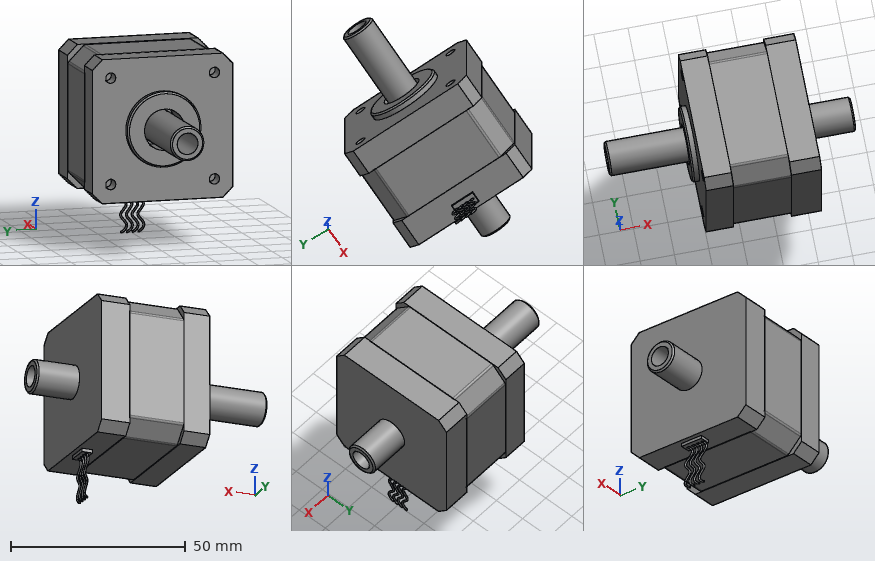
import cadquery as cq


frame_size = 42.0
frame_chamfer = 3.0
front_cap_length = 8.0
stator_length = 16.9
rear_cap_length = 8.8
stator_start = front_cap_length
rear_cap_start = stator_start + stator_length
frame_end = rear_cap_start + rear_cap_length

stator_inset = 0.2
stator_size = frame_size - 2 * stator_inset
stator_chamfer = 4.85
stator_corner_radius = 1.0

boss_diameter = 22.0
boss_height = 2.0
boss_chamfer = 0.5

clearance_diameter = 12.0

mounting_pitch = 31.0
mounting_hole_diameter = 3.0
mounting_hole_depth = 4.5

shaft_diameter = 10.0
shaft_bore = 6.2
shaft_chamfer = 0.5
shaft_front_reach = 24.9
shaft_rear_reach = 13.1
shaft_length = shaft_front_reach + frame_end + shaft_rear_reach

grommet_length = 3.2
grommet_width = 7.2
grommet_height = 1.0
grommet_x = frame_end - 3.0
grommet_bottom = -frame_size / 2 - grommet_height
wire_count = 4
wire_pitch = 1.72
wire_diameter = 0.55

wire_bends = [
    (-0.45, -0.3),
    (1.0, 0.65),
    (1.65, 1.95),
    (0.4, 3.8),
    (-0.85, 5.5),
    (0.8, 8.5),
    (-0.4, 10.3),
    (-1.0, 11.7),
    (-0.5, 12.75),
    (0.7, 13.52),
]


def along_x(start):
    """Work plane facing +X at the given X, with local axes Y and Z."""
    return cq.Workplane("YZ", origin=(start, 0, 0))


def cylinder(diameter, start, length):
    return along_x(start).circle(diameter / 2).extrude(length)


def square_block(size, chamfer, start, length):
    """Square block along X with its four long edges chamfered."""
    return along_x(start).rect(size, size).extrude(length).edges("|X").chamfer(chamfer)


def cut_shaft_hole(body):
    return body.cut(cylinder(shaft_diameter, -shaft_front_reach, shaft_length))


def make_front_cap():
    cap = square_block(frame_size, frame_chamfer, 0, front_cap_length)
    boss = cylinder(boss_diameter, -boss_height, boss_height + front_cap_length)
    cap = cap.union(boss.faces("<X").chamfer(boss_chamfer))
    cap = cap.cut(cylinder(clearance_diameter, -boss_height, boss_height + front_cap_length))
    mounting_holes = (
        along_x(0)
        .rect(mounting_pitch, mounting_pitch, forConstruction=True)
        .vertices()
        .circle(mounting_hole_diameter / 2)
        .extrude(mounting_hole_depth)
    )
    return cap.cut(mounting_holes)


def make_stator():
    stator = square_block(stator_size, stator_chamfer, stator_start, stator_length)
    return cut_shaft_hole(stator.edges("|X").fillet(stator_corner_radius))


def make_wire(exit_y):
    """One round lead wire, swept along a wavy path in a plane of constant X."""
    points = [cq.Vector(grommet_x, exit_y + shift, grommet_bottom - drop) for shift, drop in wire_bends]
    path = cq.Edge.makeSpline(points)
    root_plane = cq.Plane(origin=points[0], xDir=(1, 0, 0), normal=path.tangentAt(0))
    return cq.Workplane(root_plane).circle(wire_diameter / 2).sweep(cq.Workplane(path))


def make_rear_cap():
    """Rear cap in one piece with its lead grommet and wires."""
    cap = square_block(frame_size, frame_chamfer, rear_cap_start, rear_cap_length)
    grommet = (
        cq.Workplane("XY", origin=(grommet_x, 0, grommet_bottom))
        .rect(grommet_length, grommet_width)
        .extrude(2 * grommet_height)
    )
    cap = cap.union(grommet)
    for index in range(wire_count):
        exit_y = (index - (wire_count - 1) / 2) * wire_pitch
        cap = cap.union(make_wire(exit_y))
    return cut_shaft_hole(cap)


def make_shaft():
    shaft = cylinder(shaft_diameter, -shaft_front_reach, shaft_length)
    shaft = shaft.faces("<X or >X").chamfer(shaft_chamfer)
    return shaft.cut(cylinder(shaft_bore, -shaft_front_reach, shaft_length))


front_cap = make_front_cap()
stator = make_stator()
rear_cap = make_rear_cap()
shaft = make_shaft()

bodies = [front_cap, stator, rear_cap, shaft]
result = cq.Compound.makeCompound([body.solids().val() for body in bodies])